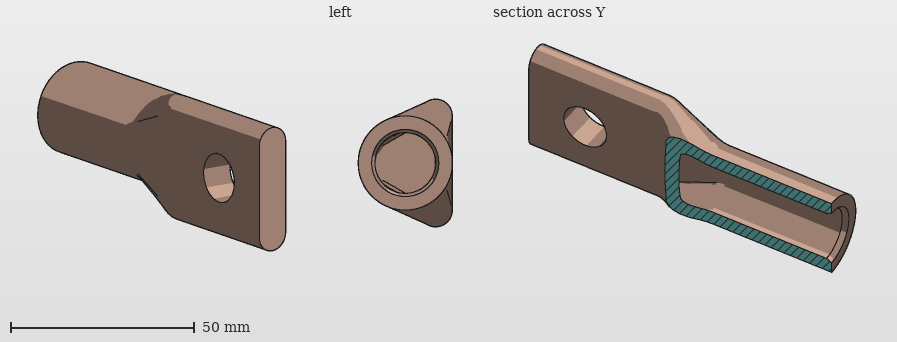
import cadquery as cq
import math

total_length = 98.4
barrel_length = 38.1
palm_start = 58.8
barrel_diameter = 25.7
palm_width = 34.8
bore_diameter = 16.5
chamfer_width = 0.9
chamfer_depth = 1.6
bolt_hole_diameter = 13.6
bolt_hole_x = 80.5
slit_thickness = 0.2
corner_angle = 30.0
ease_fraction = 0.19
transition_steps = (0.0, 0.09, 0.19, 0.5, 0.81, 0.91, 1.0)

barrel_radius = barrel_diameter / 2
bore_radius = bore_diameter / 2
palm_thickness = barrel_diameter - bore_diameter
palm_flat_half = (palm_width - palm_thickness) / 2
palm_y = -barrel_radius + palm_thickness / 2


def eased(step):
    """Blend from 0 to 1: parabolic bends joined by a straight ramp."""
    slope = 1 / (1 - ease_fraction)
    if step < ease_fraction:
        return slope * step**2 / (2 * ease_fraction)
    if step > 1 - ease_fraction:
        return 1 - slope * (1 - step)**2 / (2 * ease_fraction)
    return slope * (step - ease_fraction / 2)


def transition_section(step, radius, cap_radius):
    """Closed section between a circle and the flattened, round-ended slot."""
    blend = eased(step)
    x = barrel_length + step * (palm_start - barrel_length)

    def point(angle, slot_y, slot_z):
        circle_y = -radius * math.cos(math.radians(angle))
        circle_z = radius * math.sin(math.radians(angle))
        y = circle_y + blend * (slot_y - circle_y)
        z = circle_z + blend * (slot_z - circle_z)
        return cq.Vector(x, y, z)

    front_y = palm_y - cap_radius
    back_y = palm_y + cap_radius
    tip_z = palm_flat_half + cap_radius
    front_top = point(corner_angle, front_y, palm_flat_half)
    top = point(90, palm_y, tip_z)
    back_top = point(180 - corner_angle, back_y, palm_flat_half)
    back = point(180, back_y, 0)
    back_bottom = point(180 + corner_angle, back_y, -palm_flat_half)
    bottom = point(270, palm_y, -tip_z)
    front_bottom = point(-corner_angle, front_y, -palm_flat_half)
    front = point(0, front_y, 0)

    def side(start, middle, end):
        if step == 1:
            return cq.Edge.makeLine(start, end)
        return cq.Edge.makeThreePointArc(start, middle, end)

    return cq.Wire.assembleEdges([
        cq.Edge.makeThreePointArc(front_top, top, back_top),
        side(back_top, back, back_bottom),
        cq.Edge.makeThreePointArc(back_bottom, bottom, front_bottom),
        side(front_bottom, front, front_top),
    ])


def transition(radius, cap_radius):
    sections = [transition_section(step, radius, cap_radius) for step in transition_steps]
    return cq.Workplane(cq.Solid.makeLoft(sections))


barrel = cq.Workplane("YZ").circle(barrel_radius).extrude(barrel_length)
palm = (
    cq.Workplane("YZ", origin=(palm_start, palm_y, 0))
    .slot2D(palm_width, palm_thickness, 90)
    .extrude(total_length - palm_start)
)
body = barrel.union(transition(barrel_radius, palm_thickness / 2)).union(palm)

bore = cq.Workplane("YZ").circle(bore_radius).extrude(barrel_length)
mouth = cq.Workplane(
    cq.Solid.makeCone(
        bore_radius + chamfer_width, bore_radius, chamfer_depth, cq.Vector(0, 0, 0), cq.Vector(1, 0, 0)
    )
)
closing_cavity = transition(bore_radius, slit_thickness / 2)

bolt_hole = (
    cq.Workplane("XZ", origin=(bolt_hole_x, palm_y, 0))
    .circle(bolt_hole_diameter / 2)
    .extrude(palm_thickness, both=True)
)

result = body.cut(bore).cut(mouth).cut(closing_cavity).cut(bolt_hole)